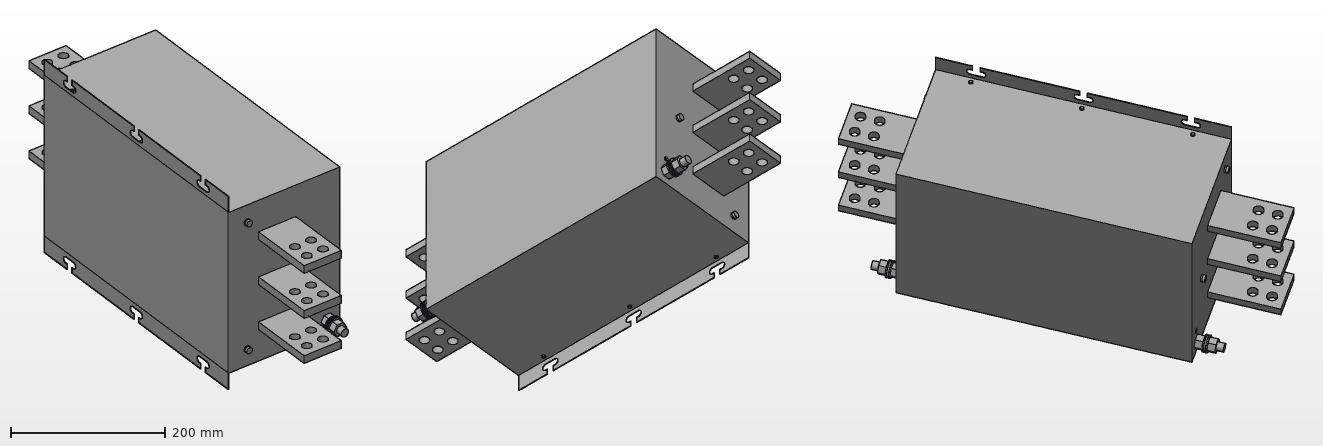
import cadquery as cq

HOUSING_LENGTH = 400.0
HOUSING_HEIGHT = 250.0
TOTAL_DEPTH = 180.05
TOTAL_LENGTH = 598.0
WALL_X = HOUSING_LENGTH / 2
WALL_Z = HOUSING_HEIGHT / 2

BASE_HEIGHT = 300.0
BASE_THICKNESS = 1.0
SLOT_PITCH = 145.0
SLOT_DEPTH = 18.2
SLOT_WIDTH = 26.0
SLOT_HEIGHT = 10.0
NECK_WIDTH = 10.0
SLOT_CUTTER_DEPTH = 20.0

BAR_PITCH = 70.0
BAR_WIDTH = 60.0
BAR_THICKNESS = 12.0
BAR_CENTRE_Y = 79.0
BAR_HOLE_DIAMETER = 14.0
BAR_HOLE_PITCH = 26.0
BAR_HOLE_EDGE = (BAR_WIDTH - BAR_HOLE_PITCH) / 2

STUD_Y = TOTAL_DEPTH - 20.0
STUD_Z = -105.0
STUD_DIAMETER = 12.0
STUD_LENGTH = 38.0
NUT_ACROSS_CORNERS = 20.8
NUT_HEIGHT = 10.8
WASHER_DIAMETER = 24.0
WASHER_THICKNESS = 2.0
SPRING_WASHER_DIAMETER = 22.0
SPRING_WASHER_THICKNESS = 2.5

EARTH_HOLE_OFFSET = 22.0
EARTH_HOLE_DIAMETER = 4.0
EARTH_SINK_DIAMETER = 6.8
EARTH_HOLE_DEPTH = 4.0

SCREW_HEAD_DIAMETER = 9.2
SCREW_HEIGHT = 5.5
SCREW_WASHER_DIAMETER = 9.6
SCREW_WASHER_THICKNESS = 2.0
LOW_SCREW_Y = 30.5
LOW_SCREW_Z = 98.5
HIGH_SCREW_Y = 137.0
SCREW_PLACES = [(LOW_SCREW_Y, LOW_SCREW_Z), (LOW_SCREW_Y, -LOW_SCREW_Z), (HIGH_SCREW_Y, 0.0)]

RIVET_PITCH = 150.0
RIVET_Y = 8.0
RIVET_DIAMETER = 6.0
RIVET_HEIGHT = 1.5
RIVET_CHAMFER = 1.0

SIDES = (-1, 1)
ROW = (-1, 0, 1)


def block(length, depth, height, centre):
    return cq.Workplane("XY").box(length, depth, height).translate(centre)


def end_rod(side, start, length, y, z, diameter):
    """Round rod on an end wall, starting at a distance outside the wall."""
    origin = cq.Vector(side * (WALL_X + start), y, z)
    rod = cq.Solid.makeCylinder(diameter / 2, length, origin, cq.Vector(side, 0, 0))
    return cq.Workplane(obj=rod)


def make_housing():
    depth = TOTAL_DEPTH - BASE_THICKNESS
    return block(HOUSING_LENGTH, depth, HOUSING_HEIGHT, (0, BASE_THICKNESS + depth / 2, 0))


def make_mounting_slot(x, side):
    """Cutter for a round-ended cross slot joined to the plate edge by a narrow neck."""
    edge_z = side * BASE_HEIGHT / 2
    cross_z = edge_z - side * (SLOT_DEPTH - SLOT_HEIGHT / 2)
    cross = cq.Workplane("XZ").slot2D(SLOT_WIDTH, SLOT_HEIGHT).extrude(SLOT_CUTTER_DEPTH / 2, both=True)
    cross = cross.translate((x, 0, cross_z))
    neck_length = abs(edge_z - cross_z)
    neck = block(NECK_WIDTH, SLOT_CUTTER_DEPTH, neck_length, (x, 0, (edge_z + cross_z) / 2))
    return cross.union(neck)


def make_base():
    plate = block(HOUSING_LENGTH, BASE_THICKNESS, BASE_HEIGHT, (0, BASE_THICKNESS / 2, 0))
    for column in ROW:
        for side in SIDES:
            plate = plate.cut(make_mounting_slot(column * SLOT_PITCH, side))
    return plate


def make_busbar(z):
    first_hole_x = TOTAL_LENGTH / 2 - BAR_HOLE_EDGE
    second_hole_x = first_hole_x - BAR_HOLE_PITCH
    holes = [
        (end * x, row * BAR_HOLE_PITCH / 2)
        for end in SIDES
        for x in (first_hole_x, second_hole_x)
        for row in SIDES
    ]
    bar = cq.Workplane("XY").box(TOTAL_LENGTH, BAR_WIDTH, BAR_THICKNESS)
    bar = bar.faces(">Z").workplane().pushPoints(holes).hole(BAR_HOLE_DIAMETER)
    return bar.translate((0, BAR_CENTRE_Y, z))


def make_nut(side, start):
    """Hexagon nut on the stud with corners pointing along Y."""
    nut = cq.Workplane("YZ").polygon(6, NUT_ACROSS_CORNERS).extrude(side * NUT_HEIGHT)
    return nut.translate((side * (WALL_X + start), STUD_Y, STUD_Z))


def make_stud(side):
    stack = (
        (WASHER_DIAMETER, WASHER_THICKNESS),
        (SPRING_WASHER_DIAMETER, SPRING_WASHER_THICKNESS),
        (WASHER_DIAMETER, WASHER_THICKNESS),
    )
    stud = end_rod(side, 0, STUD_LENGTH, STUD_Y, STUD_Z, STUD_DIAMETER)
    stud = stud.union(make_nut(side, 0))
    start = NUT_HEIGHT
    for diameter, thickness in stack:
        stud = stud.union(end_rod(side, start, thickness, STUD_Y, STUD_Z, diameter))
        start += thickness
    return stud.union(make_nut(side, start))


def make_earth_hole(side):
    z = STUD_Z + EARTH_HOLE_OFFSET
    hole = end_rod(side, -EARTH_HOLE_DEPTH, EARTH_HOLE_DEPTH, STUD_Y, z, EARTH_HOLE_DIAMETER)
    sink_depth = (EARTH_SINK_DIAMETER - EARTH_HOLE_DIAMETER) / 2
    sink = cq.Solid.makeCone(
        EARTH_SINK_DIAMETER / 2,
        EARTH_HOLE_DIAMETER / 2,
        sink_depth,
        cq.Vector(side * WALL_X, STUD_Y, z),
        cq.Vector(-side, 0, 0),
    )
    return hole.union(cq.Workplane(obj=sink))


def make_screw(side, y, z):
    head = end_rod(side, 0, SCREW_HEIGHT, y, z, SCREW_HEAD_DIAMETER)
    return head.union(end_rod(side, 0, SCREW_WASHER_THICKNESS, y, z, SCREW_WASHER_DIAMETER))


def make_rivet(x, side):
    """Low rivet head with a chamfered rim on the top or bottom wall."""
    origin = cq.Vector(x, RIVET_Y, side * WALL_Z)
    rivet = cq.Solid.makeCylinder(RIVET_DIAMETER / 2, RIVET_HEIGHT, origin, cq.Vector(0, 0, side))
    outer_face = ">Z" if side > 0 else "<Z"
    return cq.Workplane(obj=rivet).faces(outer_face).chamfer(RIVET_CHAMFER)


def make_filter():
    body = make_housing().union(make_base())
    for row in ROW:
        body = body.union(make_busbar(row * BAR_PITCH))
    for side in SIDES:
        body = body.union(make_stud(side)).cut(make_earth_hole(side))
        for y, z in SCREW_PLACES:
            body = body.union(make_screw(side, y, z))
        for column in ROW:
            body = body.union(make_rivet(column * RIVET_PITCH, side))
    return body


result = make_filter()